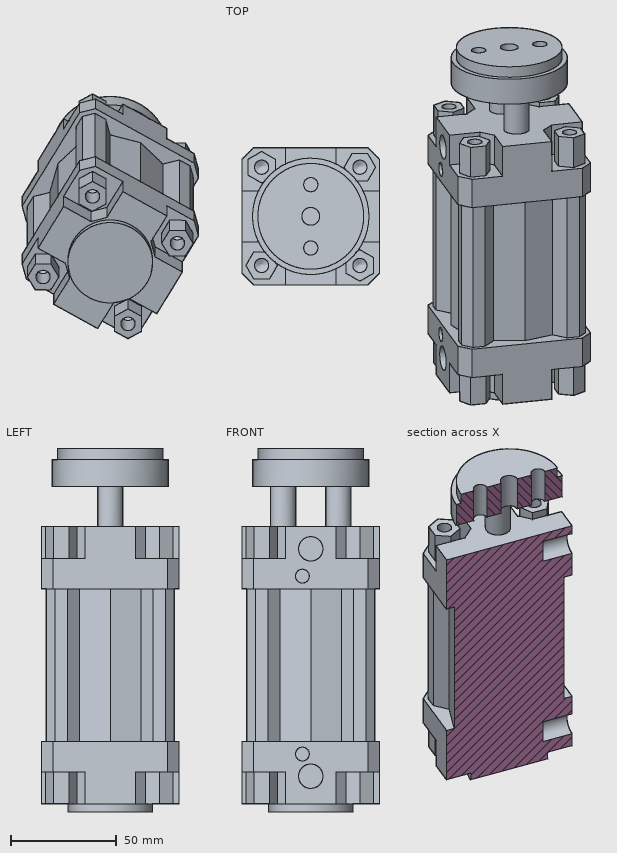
import cadquery as cq
import math

COLLAR_HEIGHT = 4.0
CAP_HEIGHT = 29.5
CAP_FLANGE_HEIGHT = 14.5
TUBE_LENGTH = 72.0
ROD_LENGTH = 18.7
PLATE_HEIGHT = 12.7
PLATE_STEP_HEIGHT = 5.3

TUBE_BOTTOM = COLLAR_HEIGHT + CAP_HEIGHT
TUBE_TOP = TUBE_BOTTOM + TUBE_LENGTH
TUBE_MIDDLE = TUBE_BOTTOM + TUBE_LENGTH / 2
HOUSING_TOP = TUBE_TOP + CAP_HEIGHT
PLATE_BOTTOM = HOUSING_TOP + ROD_LENGTH

CAP_WIDTH = 65.0
CAP_CHAMFER = 5.5
CROSS_ARM_WIDTH = 24
COLLAR_DIAMETER = 40.0

NUT_OFFSET = 23.2
NUT_WIDTH = 12.9
NUT_HEIGHT = CAP_HEIGHT - CAP_FLANGE_HEIGHT
NUT_CORNER_DIAMETER = NUT_WIDTH / math.cos(math.radians(30))
NUT_HOLE_DIAMETER = 6.7
NUT_HOLE_DEPTH = NUT_HEIGHT
DRILL_POINT_ANGLE = 118

PORT_DIAMETER = 11.5
PORT_DEPTH = 15.0
UPPER_PORT_HEIGHT = 19
LOWER_PORT_HEIGHT = 16.5
SCREW_DIAMETER = 6.5
SCREW_DEPTH = 1.5
SCREW_X = -4.0
SCREW_HEIGHT = 6.0

TUBE_WIDTH = 60.7
TUBE_CHAMFER = 4.3
POST_INNER_EDGE = 20.1
FLANK_DEPTH = 5.7
RIDGE_DISTANCE = 28.5

PLATE_DIAMETER = 55
PLATE_STEP_DIAMETER = 50.0
ROD_DIAMETER = 12
ROD_OFFSET = 13.0
PLATE_CENTRE_HOLE_DIAMETER = 8.5
PLATE_SIDE_HOLE_DIAMETER = 6.7
PLATE_SIDE_HOLE_OFFSET = 15.0


def turned(point, quarter_turns):
    """A point of the XY plane turned about Z by whole quarter turns."""
    x, y = point
    for _ in range(quarter_turns):
        x, y = -y, x
    return x, y


def make_tube():
    """Square tube: four chamfered corner posts with a shallow V-ridged panel between them."""
    half = TUBE_WIDTH / 2
    panel_edge = POST_INNER_EDGE - FLANK_DEPTH
    panel_distance = half - FLANK_DEPTH
    front_side = [
        (-half + TUBE_CHAMFER, -half),
        (-POST_INNER_EDGE, -half),
        (-panel_edge, -panel_distance),
        (0, -RIDGE_DISTANCE),
        (panel_edge, -panel_distance),
        (POST_INNER_EDGE, -half),
        (half - TUBE_CHAMFER, -half),
    ]
    outline = [turned(point, turn) for turn in range(4) for point in front_side]
    return cq.Workplane("XY").workplane(offset=TUBE_BOTTOM).polyline(outline).close().extrude(TUBE_LENGTH)


def make_nut():
    """Hexagonal nut in the (+X, +Y) corner of the upper cap, one hexagon corner pointing to +X."""
    return (
        cq.Workplane("XY")
        .workplane(offset=HOUSING_TOP - NUT_HEIGHT)
        .center(NUT_OFFSET, NUT_OFFSET)
        .polygon(6, NUT_CORNER_DIAMETER)
        .extrude(NUT_HEIGHT)
    )


def make_nut_hole():
    """Blind drilled hole with a conical end, on the axis of the (+X, +Y) nut."""
    radius = NUT_HOLE_DIAMETER / 2
    point_height = radius / math.tan(math.radians(DRILL_POINT_ANGLE / 2))
    profile = [
        (0, 0),
        (radius, 0),
        (radius, -NUT_HOLE_DEPTH),
        (0, -NUT_HOLE_DEPTH - point_height),
    ]
    drill = cq.Workplane("XZ").polyline(profile).close().revolve(360, (0, 0), (0, 1))
    return drill.translate((NUT_OFFSET, NUT_OFFSET, HOUSING_TOP))


def make_corner_recess():
    """Square recess with a chamfered inner corner, open to the outside of the (+X, +Y) corner."""
    inner = CROSS_ARM_WIDTH / 2
    outer = CAP_WIDTH / 2
    size = outer - inner
    centre = (inner + outer) / 2
    return (
        cq.Workplane("XY")
        .box(size, size, NUT_HEIGHT, centered=(True, True, False))
        .edges("|Z and <X and <Y")
        .chamfer(CAP_CHAMFER)
        .translate((centre, centre, HOUSING_TOP - NUT_HEIGHT))
    )


def front_hole(x, z, diameter, depth):
    """Cutter for a flat-ended hole sunk into the -Y face of a cap."""
    front_plane = cq.Workplane("XZ", origin=(x, -CAP_WIDTH / 2, z))
    return front_plane.circle(diameter / 2).extrude(-depth)


def make_upper_cap(port_height):
    """Chamfered square cap with a nut in each corner recess, a port and a screw recess."""
    cap = (
        cq.Workplane("XY")
        .workplane(offset=TUBE_TOP)
        .rect(CAP_WIDTH, CAP_WIDTH)
        .extrude(CAP_HEIGHT)
        .edges("|Z")
        .chamfer(CAP_CHAMFER)
    )
    recess = make_corner_recess()
    nut = make_nut()
    nut_hole = make_nut_hole()
    for turn in range(4):
        angle = 90 * turn
        cap = cap.cut(recess.rotate((0, 0, 0), (0, 0, 1), angle))
        cap = cap.union(nut.rotate((0, 0, 0), (0, 0, 1), angle))
        cap = cap.cut(nut_hole.rotate((0, 0, 0), (0, 0, 1), angle))
    cap = cap.cut(front_hole(0, TUBE_TOP + port_height, PORT_DIAMETER, PORT_DEPTH))
    return cap.cut(front_hole(SCREW_X, TUBE_TOP + SCREW_HEIGHT, SCREW_DIAMETER, SCREW_DEPTH))


def make_lower_cap(port_height):
    """The upper cap's mirror image about the middle of the tube, with its own port height."""
    return make_upper_cap(port_height).mirror("XY", (0, 0, TUBE_MIDDLE))


def make_housing():
    """Cylinder housing: tube, an end cap at each end and the centring collar."""
    upper_cap = make_upper_cap(UPPER_PORT_HEIGHT)
    lower_cap = make_lower_cap(LOWER_PORT_HEIGHT)
    collar = cq.Workplane("XY").circle(COLLAR_DIAMETER / 2).extrude(COLLAR_HEIGHT)
    return make_tube().union(upper_cap).union(lower_cap).union(collar)


def make_tool_plate():
    """Stepped round plate with three through holes, carried by two rods standing on the housing."""
    plate = (
        cq.Workplane("XY")
        .workplane(offset=PLATE_BOTTOM)
        .circle(PLATE_DIAMETER / 2)
        .extrude(PLATE_HEIGHT)
        .faces(">Z")
        .workplane()
        .circle(PLATE_STEP_DIAMETER / 2)
        .extrude(PLATE_STEP_HEIGHT)
    )
    plate = plate.faces(">Z").workplane().hole(PLATE_CENTRE_HOLE_DIAMETER)
    side_holes = [(0, -PLATE_SIDE_HOLE_OFFSET), (0, PLATE_SIDE_HOLE_OFFSET)]
    plate = plate.faces(">Z").workplane().pushPoints(side_holes).hole(PLATE_SIDE_HOLE_DIAMETER)
    rods = (
        cq.Workplane("XY")
        .workplane(offset=HOUSING_TOP)
        .pushPoints([(-ROD_OFFSET, 0), (ROD_OFFSET, 0)])
        .circle(ROD_DIAMETER / 2)
        .extrude(ROD_LENGTH)
    )
    return plate.union(rods)


housing = make_housing()
tool_plate = make_tool_plate()
result = cq.Compound.makeCompound([housing.val(), tool_plate.val()])